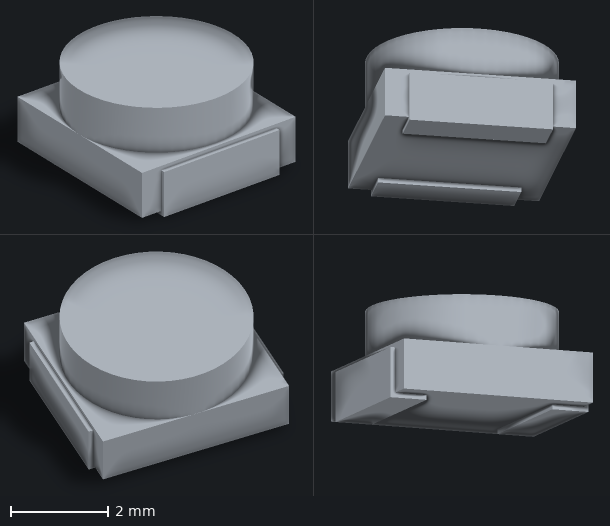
import cadquery as cq

overall_length = 4.4
overall_height = 2.2

plate_thickness = 0.1
terminal_width = 3.0
terminal_height = 1.05
foot_length = 0.8

base_length = overall_length - 2 * plate_thickness
base_width = 4.0
base_bottom = plate_thickness
base_top = terminal_height + plate_thickness

cap_diameter = base_width
cap_height = overall_height - base_top


def make_base():
    """Plain rectangular block."""
    return (
        cq.Workplane("XY")
        .workplane(offset=base_bottom)
        .rect(base_length, base_width)
        .extrude(base_top - base_bottom)
    )


def make_cap():
    """Cylinder standing centrally on the base."""
    return (
        cq.Workplane("XY")
        .workplane(offset=base_top)
        .circle(cap_diameter / 2)
        .extrude(cap_height)
    )


def make_terminal(side):
    """L-shaped plate at the -X end (side = -1) or the +X end (side = 1)."""
    outer_x = side * overall_length / 2
    inner_x = side * base_length / 2
    foot_end_x = side * (overall_length / 2 - foot_length)
    profile = [
        (outer_x, 0),
        (outer_x, terminal_height),
        (inner_x, terminal_height),
        (inner_x, plate_thickness),
        (foot_end_x, plate_thickness),
        (foot_end_x, 0),
    ]
    return cq.Workplane("XZ").polyline(profile).close().extrude(terminal_width / 2, both=True)


base = make_base()
cap = make_cap()
terminals = [make_terminal(side) for side in (-1, 1)]

result = cq.Compound.makeCompound(
    [base.val(), cap.val(), *[terminal.val() for terminal in terminals]]
)